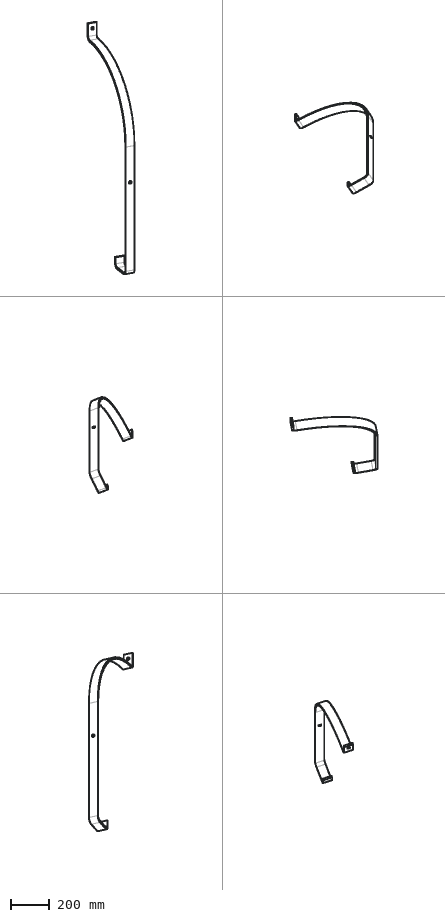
import cadquery as cq
import math

height = 1240.0
depth = 450.0
strap_width = 50.0
thickness = 10.0

inner_bend_radius = 16.0
outer_bend_radius = inner_bend_radius + thickness
bend_radius = inner_bend_radius + thickness / 2

arc_outer_radius = 445.0
arc_radius = arc_outer_radius - thickness / 2
arc_center_x = depth - arc_outer_radius
arc_center_z = 710.0

hook_outer_width = 129.0
hook_lip_top = 61.0
hook_floor_slope = 1.0

hole_diameter = 15.0
tab_hole_z = height - 30.0
upright_hole_z = 510.0


def on_circle(center, radius, angle):
    """Point on a circle at an angle in degrees, counterclockwise from +X."""
    radians = math.radians(angle)
    return (center[0] + radius * math.cos(radians), center[1] + radius * math.sin(radians))


def add_arc(path, center, radius, start_angle, end_angle):
    """Continue the path along a circle to its end angle."""
    middle = on_circle(center, radius, (start_angle + end_angle) / 2)
    return path.threePointArc(middle, on_circle(center, radius, end_angle))


def strap_centerline():
    """Middle line of the strap in the XZ plane, from the wall tab to the hook lip."""
    arc_center = (arc_center_x, arc_center_z)

    center_distance = arc_radius + bend_radius
    joint_slope = math.degrees(math.asin((outer_bend_radius - arc_center_x) / center_distance))
    tab_bend = on_circle(arc_center, center_distance, 90 - joint_slope)

    heel_bend = (depth - outer_bend_radius, outer_bend_radius)
    lip_bend_x = depth - hook_outer_width + outer_bend_radius
    floor_rise = (heel_bend[0] - lip_bend_x) * math.tan(math.radians(hook_floor_slope))
    lip_bend = (lip_bend_x, heel_bend[1] + floor_rise)
    floor_angle = -90 - hook_floor_slope

    path = cq.Workplane("XZ").moveTo(thickness / 2, height)
    path = path.lineTo(*on_circle(tab_bend, bend_radius, 180))
    path = add_arc(path, tab_bend, bend_radius, 180, 270 - joint_slope)
    path = add_arc(path, arc_center, arc_radius, 90 - joint_slope, 0)
    path = path.lineTo(*on_circle(heel_bend, bend_radius, 0))
    path = add_arc(path, heel_bend, bend_radius, 0, floor_angle)
    path = path.lineTo(*on_circle(lip_bend, bend_radius, floor_angle))
    path = add_arc(path, lip_bend, bend_radius, floor_angle, -180)
    return path.lineTo(lip_bend_x - bend_radius, hook_lip_top)


def screw_hole(face_x, z):
    """Cutter along X through one thickness of the strap."""
    return (
        cq.Workplane("YZ", origin=(face_x, 0, z))
        .circle(hole_diameter / 2)
        .extrude(thickness)
    )


strap = (
    cq.Workplane("XY", origin=(thickness / 2, 0, height))
    .rect(thickness, strap_width)
    .sweep(strap_centerline())
)

result = strap.cut(screw_hole(0, tab_hole_z)).cut(screw_hole(depth - thickness, upright_hole_z))